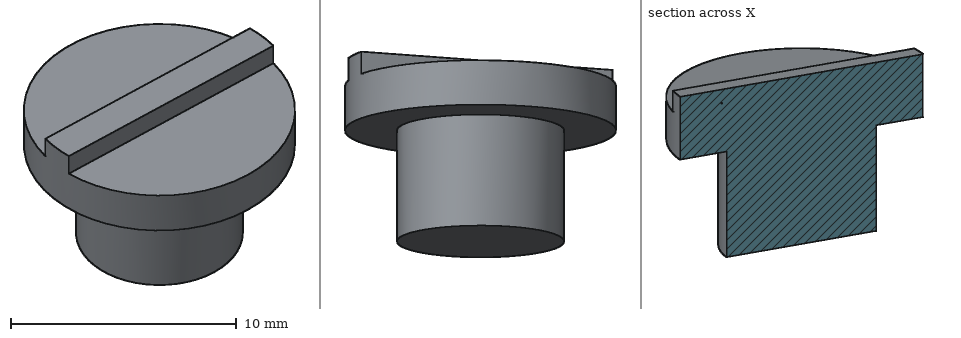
import cadquery as cq

SHANK_DIAMETER = 7.4
SHANK_LENGTH = 5.0
HEAD_DIAMETER = 12.0
HEAD_THICKNESS = 2.0
KEY_WIDTH = 1.6
KEY_HEIGHT = 1.0

HEAD_TOP = SHANK_LENGTH + HEAD_THICKNESS


def disc(diameter, height, base_z):
    """Upright cylinder on the Z axis, standing on base_z."""
    return cq.Workplane("XY").workplane(offset=base_z).circle(diameter / 2).extrude(height)


def make_key():
    """Straight key along Y whose ends follow the rim of the head."""
    bar = (
        cq.Workplane("XY")
        .workplane(offset=HEAD_TOP)
        .rect(KEY_WIDTH, HEAD_DIAMETER)
        .extrude(KEY_HEIGHT)
    )
    return bar.intersect(disc(HEAD_DIAMETER, KEY_HEIGHT, HEAD_TOP))


shank = disc(SHANK_DIAMETER, SHANK_LENGTH, 0)
head = disc(HEAD_DIAMETER, HEAD_THICKNESS, SHANK_LENGTH)

result = shank.union(head).union(make_key())